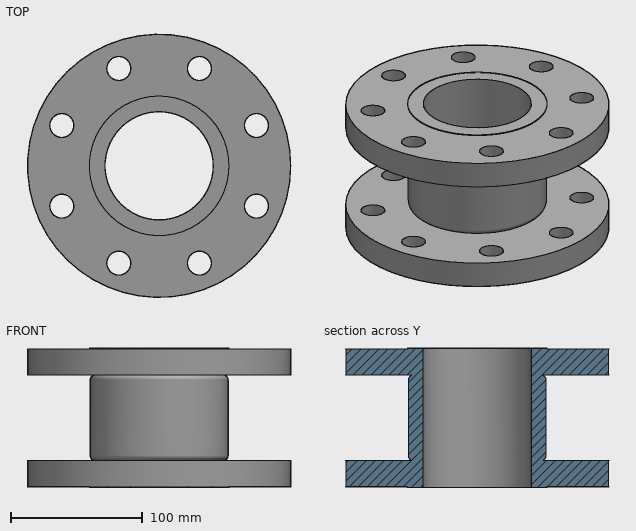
import cadquery as cq

flange_diameter = 200.0
overall_height = 106.0
bore_diameter = 82.0

flange_thickness = 20.0
raised_face_diameter = 106.0
raised_face_height = 0.5

tube_diameter = 105.0
tube_end_fillet = 3.5

bolt_count = 8
bolt_circle_diameter = 160.0
bolt_hole_diameter = 18.0
bolt_start_angle = 180.0 / bolt_count

tube_bottom = raised_face_height + flange_thickness
tube_length = overall_height - 2 * tube_bottom


def disc(diameter, bottom, height):
    """Solid cylinder on the Z axis, starting at the given level."""
    return cq.Workplane("XY").workplane(offset=bottom).circle(diameter / 2).extrude(height)


tube = disc(tube_diameter, tube_bottom, tube_length).edges("%CIRCLE").fillet(tube_end_fillet)

lower_flange = disc(flange_diameter, raised_face_height, flange_thickness)
upper_flange = disc(flange_diameter, tube_bottom + tube_length, flange_thickness)

lower_face = disc(raised_face_diameter, 0, raised_face_height)
upper_face = disc(raised_face_diameter, overall_height - raised_face_height, raised_face_height)

body = tube.union(lower_flange).union(upper_flange).union(lower_face).union(upper_face)

bore = disc(bore_diameter, 0, overall_height)
bolt_holes = (
    cq.Workplane("XY")
    .polarArray(bolt_circle_diameter / 2, bolt_start_angle, 360, bolt_count)
    .circle(bolt_hole_diameter / 2)
    .extrude(overall_height)
)

result = body.cut(bore).cut(bolt_holes).translate((0, 0, -overall_height / 2))